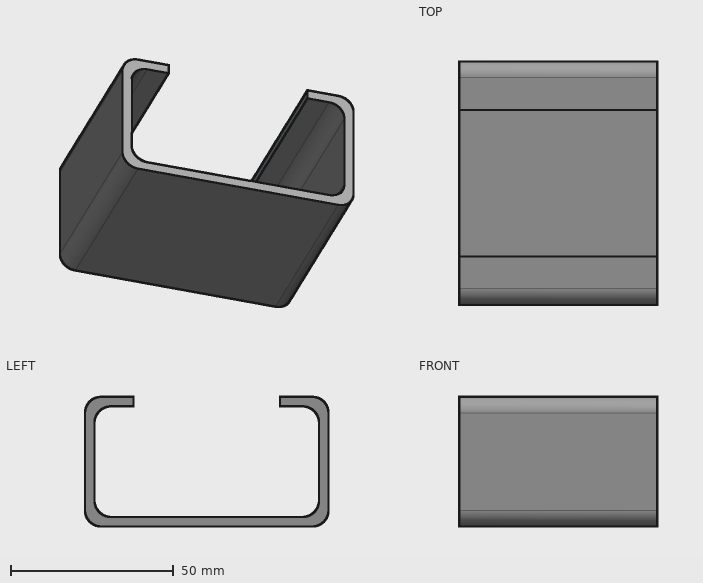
import cadquery as cq

length = 61.0
width = 75.0
height = 40.0
wall = 3.0
lip_reach = 15.0
outer_radius = 5.0
inner_radius = 5.0


def rounded_bar(bar_width, bar_height, radius):
    """Solid bar along X, centred on the origin, with rounded long edges."""
    return cq.Workplane("YZ").rect(bar_width, bar_height).extrude(length / 2, both=True).edges("|X").fillet(radius)


outer = rounded_bar(width, height, outer_radius)
inner = rounded_bar(width - 2 * wall, height - 2 * wall, inner_radius)
tube = outer.cut(inner)

opening_width = width - 2 * lip_reach
opening = cq.Workplane("XY").box(length, opening_width, wall).translate((0, 0, (height - wall) / 2))

result = tube.cut(opening)